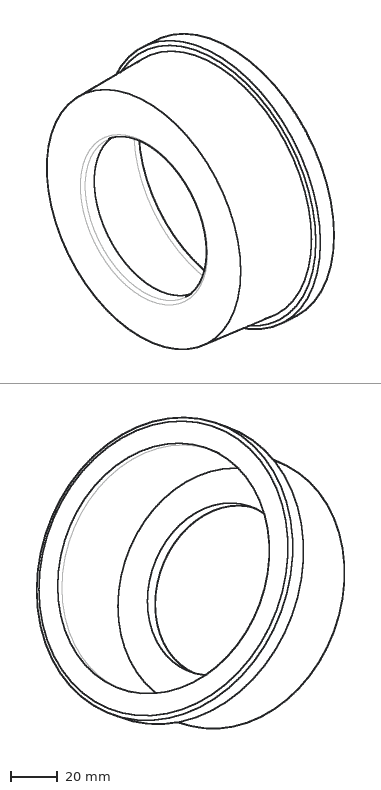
import cadquery as cq

length = 50.0
flange_diameter = 132.0
flange_thickness = 10.0
flange_bevel_radial = 1.8
flange_bevel_axial = 0.9

body_front_diameter = 118.8
body_flange_diameter = 123.0

bore_diameter = 75.0
bore_front_round = 1.5
front_wall_thickness = 7.0

pocket_floor_diameter = 105.3
pocket_mouth_diameter = 109.0
pocket_mouth_land = 3.0

front = -length / 2
rear = length / 2
flange_front = rear - flange_thickness

flange_radius = flange_diameter / 2
flange_face_radius = flange_radius - flange_bevel_radial
bore_radius = bore_diameter / 2

half_section = (
    cq.Workplane("XY")
    .moveTo(bore_radius + bore_front_round, front)
    .lineTo(body_front_diameter / 2, front)
    .lineTo(body_flange_diameter / 2, flange_front)
    .lineTo(flange_face_radius, flange_front)
    .lineTo(flange_radius, flange_front + flange_bevel_axial)
    .lineTo(flange_radius, rear - flange_bevel_axial)
    .lineTo(flange_face_radius, rear)
    .lineTo(pocket_mouth_diameter / 2, rear)
    .lineTo(pocket_mouth_diameter / 2, rear - pocket_mouth_land)
    .lineTo(pocket_floor_diameter / 2, front + front_wall_thickness)
    .lineTo(bore_radius, front + front_wall_thickness)
    .lineTo(bore_radius, front + bore_front_round)
    .radiusArc((bore_radius + bore_front_round, front), -bore_front_round)
    .close()
)

result = half_section.revolve(360, (0, 0, 0), (0, 1, 0))